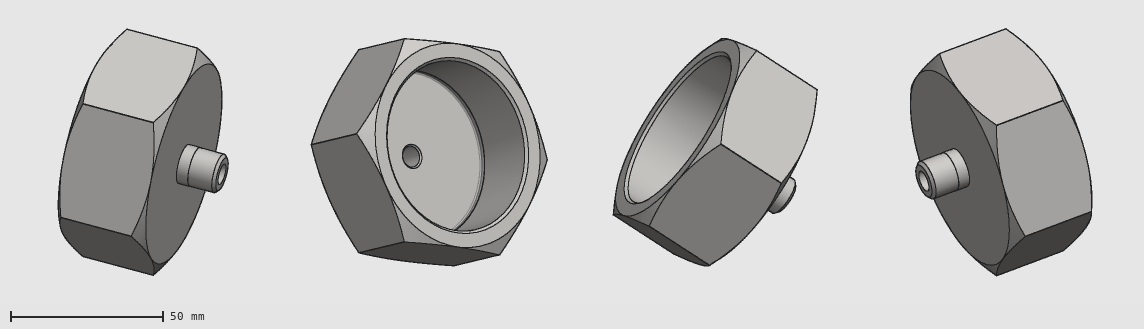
import cadquery as cq
import math

ACROSS_FLATS = 68.0
CORNER_DIAMETER = 78.4
BODY_LENGTH = 31.0
FACE_DIAMETER = 67.9
CORNER_CHAMFER_ANGLE = 30.0

BORE_DIAMETER = 56.6
BORE_DEPTH = 24.9
RELIEF_START = 22.8
RELIEF_DIAMETER = 56.9
MOUTH_CHAMFER = 0.95
FLOOR_FILLET = 0.5

TOTAL_LENGTH = 44.5
COLLAR_DIAMETER = 13.3
COLLAR_LENGTH = 4.0
SPIGOT_DIAMETER = 13.2
SPIGOT_CHAMFER = 1.0

PASSAGE_DIAMETER = 7.0
PASSAGE_CHAMFER = 0.55


def revolve_profile(points):
    """Revolve a closed (x, radius) outline about the X axis."""
    return cq.Workplane("XY").polyline(points).close().revolve(360, (0, 0, 0), (1, 0, 0))


def hexagon_body():
    """Hexagonal prism with turned corners, flats facing +Z and -Z."""
    circumscribed_diameter = ACROSS_FLATS / math.cos(math.radians(30))
    prism = cq.Workplane("YZ").polygon(6, circumscribed_diameter).extrude(BODY_LENGTH)
    corner_radius = CORNER_DIAMETER / 2
    face_radius = FACE_DIAMETER / 2
    chamfer_length = (corner_radius - face_radius) * math.tan(math.radians(CORNER_CHAMFER_ANGLE))
    turned_envelope = revolve_profile([
        (0, 0),
        (0, face_radius),
        (chamfer_length, corner_radius),
        (BODY_LENGTH - chamfer_length, corner_radius),
        (BODY_LENGTH, face_radius),
        (BODY_LENGTH, 0),
    ])
    return prism.intersect(turned_envelope)


def spigot():
    """Stepped spigot with a chamfered tip."""
    collar_end = BODY_LENGTH + COLLAR_LENGTH
    collar_radius = COLLAR_DIAMETER / 2
    spigot_radius = SPIGOT_DIAMETER / 2
    return revolve_profile([
        (BORE_DEPTH, 0),
        (BORE_DEPTH, collar_radius),
        (collar_end, collar_radius),
        (collar_end, spigot_radius),
        (TOTAL_LENGTH - SPIGOT_CHAMFER, spigot_radius),
        (TOTAL_LENGTH, spigot_radius - SPIGOT_CHAMFER),
        (TOTAL_LENGTH, 0),
    ])


def bore():
    """Blind bore with a chamfered mouth and a slightly wider relief with a rounded floor corner."""
    bore_radius = BORE_DIAMETER / 2
    relief_radius = RELIEF_DIAMETER / 2
    cavity = revolve_profile([
        (0, 0),
        (0, bore_radius + MOUTH_CHAMFER),
        (MOUTH_CHAMFER, bore_radius),
        (RELIEF_START, bore_radius),
        (RELIEF_START, relief_radius),
        (BORE_DEPTH, relief_radius),
        (BORE_DEPTH, 0),
    ])
    return cavity.faces(">X").edges().fillet(FLOOR_FILLET)


def passage():
    """Through hole from the bore floor to the tip, chamfered at the floor."""
    passage_radius = PASSAGE_DIAMETER / 2
    return revolve_profile([
        (BORE_DEPTH, 0),
        (BORE_DEPTH, passage_radius + PASSAGE_CHAMFER),
        (BORE_DEPTH + PASSAGE_CHAMFER, passage_radius),
        (TOTAL_LENGTH, passage_radius),
        (TOTAL_LENGTH, 0),
    ])


result = hexagon_body().union(spigot()).cut(bore()).cut(passage())